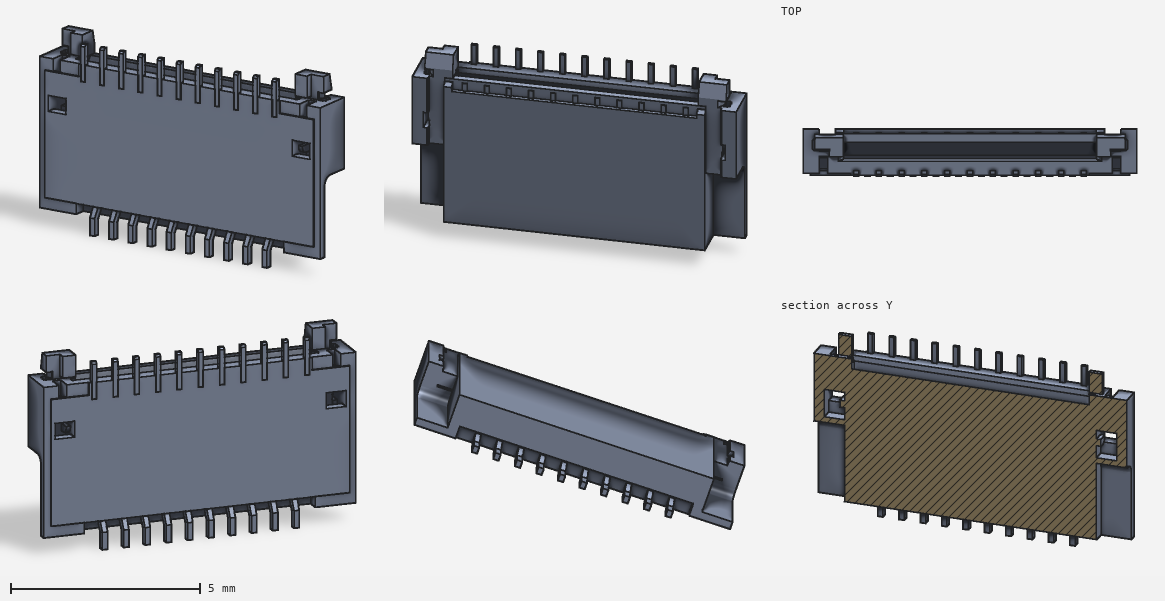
import cadquery as cq

WIDTH = 8.8
DEPTH = 1.17
HEIGHT = 4.16
HALF = WIDTH / 2

PLATE_THICKNESS = 0.05
PLATE_HALF = 4.21
PLATE_BOTTOM = 0.32
PLATE_SHOULDER = 3.82
PLATE_TOP_HALF = 3.14

UPPER_COUNT = 11
UPPER_SPAN = 6.0
PITCH = UPPER_SPAN / (UPPER_COUNT - 1)
PIN_FRONT = -0.08
UPPER_WIDTH = 0.13
UPPER_BOTTOM = 3.705
UPPER_TOP = 4.73
UPPER_BACK = 0.06
UPPER_CHAMFER = 0.05
LOWER_COUNT = 10
LOWER_WIDTH = 0.15
LOWER_TIP = -0.48
LOWER_BACK = 0.11
LOWER_SLOPE_TOP = 0.26
LOWER_ROOT_TOP = 0.4
LOWER_ROOT_FRONT = 0.08
LOWER_THICKNESS = LOWER_BACK - PIN_FRONT
LOWER_ELBOW = -0.04

RECESS_HALF = 3.26
RECESS_DEPTH = 0.35

POST_INNER = 3.97
POST_CHAMFER = 0.035
CORE_HALF = 3.55
SLOT_FRONT = 0.59
POST_BOTTOM = 2.2
WING_THICKNESS = 0.21
WING_FILLET = 0.26
POCKET_OUTER = 4.15
POCKET_BACK = 0.915
POCKET_DEPTH = 0.26
POCKET_CHAMFER = 0.05

NOTCH_OUTER = 3.98
NOTCH_INNER = 3.75
NOTCH_BACK = 0.45
NOTCH_WELL_FRONT = 0.11
NOTCH_WELL_BACK = 0.405
NOTCH_WELL_DEPTH = 0.18
NOTCH_SILL = 0.06
NOTCH_STEP_DEPTH = 0.09

WINDOW_OUTER = 4.1
WINDOW_INNER = CORE_HALF
WINDOW_BOTTOM = 2.71
WINDOW_TOP = 3.15
WELL_FRONT = 0.24
WELL_BOTTOM = 2.38
STUD_WIDTH = 0.12
STUD_HEIGHT = 0.21
STUD_FRONT = 0.26
STUD_FILLET = 0.19

LATCH_FRONT = 0.63
LATCH_BACK = 1.03
HEAD_OUTER = 4.09
HEAD_INNER = 3.335
HEAD_TOP = 4.81
HEAD_BOTTOM = 4.36
HEAD_TOP_BACK = 0.93
HEAD_HEEL_TOP = 4.4
NOSE_OUTER = 3.705
NOSE_FRONT = 0.43
NOSE_BOTTOM = 4.215
NECK_OUTER = 3.91
NECK_PEAK = 4.01
NECK_PEAK_Y = 0.82
NECK_FLARE_Y = 0.71
NECK_BACK = 3.86
ARM_OUTER = 3.995
ARM_STEP_Z = 2.86

MOUTH_HALF = 3.48
MOUTH_FRONT = 0.32
CABLE_HALF = 3.33
CABLE_FRONT = 0.38
CABLE_BACK = 0.475
CABLE_FLOOR = 1.5
LEAD_IN_DEPTH = 0.13
RAMP_TOP_Y = 0.82
RAMP_DEPTH = 0.36

LEDGE_FRONT = 1.04
LEDGE_DROP = 0.31
LEDGE_STEP = 0.03
LEDGE_STEP_DROP = 0.09
LEDGE_END_DROP = 0.19


def block(x0, x1, y0, y1, z0, z1):
    """Box between two opposite corners."""
    return cq.Workplane("XY").box(x1 - x0, y1 - y0, z1 - z0, centered=False).translate((x0, y0, z0))


def side_prism(points, x0, x1):
    """Outline of (y, z) points extruded from x0 to x1."""
    return cq.Workplane("YZ").polyline(points).close().extrude(x1 - x0).translate((x0, 0, 0))


def front_prism(points, y0, y1):
    """Outline of (x, z) points extruded from y0 to y1."""
    return cq.Workplane("XZ").polyline(points).close().extrude(y0 - y1).translate((0, y0, 0))


def plan_prism(points, z0, z1):
    """Outline of (x, y) points extruded from z0 to z1."""
    return cq.Workplane("XY").polyline(points).close().extrude(z1 - z0).translate((0, 0, z0))


def both_sides(shape):
    """A left-hand shape together with its mirror image."""
    return shape.union(shape.mirror("YZ"))


def row(count):
    """Centre positions of a row of pins."""
    return [(i - (count - 1) / 2) * PITCH for i in range(count)]


def post_cut():
    """Slot behind the latch and the space under the post, left side."""
    slot = plan_prism(
        [
            (-POST_INNER, SLOT_FRONT),
            (-CORE_HALF, SLOT_FRONT),
            (-CORE_HALF, DEPTH),
            (-POST_INNER - POST_CHAMFER, DEPTH),
            (-POST_INNER, DEPTH - POST_CHAMFER),
        ],
        0,
        HEIGHT,
    )
    below = block(-HALF, -CORE_HALF, WING_THICKNESS, DEPTH, 0, POST_BOTTOM)
    below = below.edges("|X").edges(">Z and <Y").fillet(WING_FILLET)
    pocket = block(
        -POCKET_OUTER, -POST_INNER, SLOT_FRONT, POCKET_BACK, HEIGHT - POCKET_DEPTH, HEIGHT
    )
    pocket = pocket.edges("|Z and <X").chamfer(POCKET_CHAMFER)
    return slot.union(below).union(pocket)


def notch_cut():
    """Corner notch behind a front sill, with a deeper well, left side."""
    notch = block(-NOTCH_OUTER, -NOTCH_INNER, 0, NOTCH_BACK, PLATE_SHOULDER, HEIGHT)
    step_floor = PLATE_SHOULDER - NOTCH_STEP_DEPTH
    step = block(-NOTCH_OUTER, -NOTCH_INNER, NOTCH_SILL, NOTCH_BACK, step_floor, PLATE_SHOULDER)
    well = block(
        -NOTCH_OUTER,
        -NOTCH_INNER,
        NOTCH_WELL_FRONT,
        NOTCH_WELL_BACK,
        PLATE_SHOULDER - NOTCH_WELL_DEPTH,
        PLATE_SHOULDER,
    )
    return notch.union(step).union(well)


def mouth_cut():
    """Cable mouth: front lead-in, rear ramp and the narrow cable slot."""
    lead_in = (
        cq.Workplane("XY", origin=(0, 0, HEIGHT))
        .moveTo(0, (MOUTH_FRONT + CABLE_BACK) / 2)
        .rect(2 * MOUTH_HALF, CABLE_BACK - MOUTH_FRONT)
        .workplane(offset=-LEAD_IN_DEPTH)
        .moveTo(0, (CABLE_FRONT + CABLE_BACK) / 2)
        .rect(2 * CABLE_HALF, CABLE_BACK - CABLE_FRONT)
        .loft(ruled=True)
    )
    ramp = side_prism(
        [(CABLE_BACK, HEIGHT), (RAMP_TOP_Y, HEIGHT), (CABLE_BACK, HEIGHT - RAMP_DEPTH)],
        -CABLE_HALF,
        CABLE_HALF,
    )
    slot = block(-CABLE_HALF, CABLE_HALF, CABLE_FRONT, CABLE_BACK, CABLE_FLOOR, HEIGHT)
    return lead_in.union(ramp).union(slot)


def ledge_cut():
    """Ledge along the back edge, with a short rib behind each upper pin."""
    floor = HEIGHT - LEDGE_DROP
    step_back = LEDGE_FRONT + LEDGE_STEP
    step_top = HEIGHT - LEDGE_STEP_DROP
    ledge = block(-CABLE_HALF, CABLE_HALF, LEDGE_FRONT, DEPTH, floor, HEIGHT)
    for x in row(UPPER_COUNT):
        half = UPPER_WIDTH / 2
        ledge = ledge.cut(block(x - half, x + half, LEDGE_FRONT, step_back, floor, step_top))
    end = side_prism(
        [
            (LEDGE_FRONT, HEIGHT),
            (LEDGE_FRONT, step_top),
            (step_back, step_top),
            (DEPTH, HEIGHT - LEDGE_END_DROP),
            (DEPTH, HEIGHT),
        ],
        -CORE_HALF,
        -CABLE_HALF,
    )
    return ledge.union(both_sides(end))


def cover_plate():
    """Front plate, its upper part narrowed by a shoulder on each side."""
    return front_prism(
        [
            (-PLATE_HALF, PLATE_BOTTOM),
            (PLATE_HALF, PLATE_BOTTOM),
            (PLATE_HALF, PLATE_SHOULDER),
            (PLATE_TOP_HALF, PLATE_SHOULDER),
            (PLATE_TOP_HALF, HEIGHT),
            (-PLATE_TOP_HALF, HEIGHT),
            (-PLATE_TOP_HALF, PLATE_SHOULDER),
            (-PLATE_HALF, PLATE_SHOULDER),
        ],
        -PLATE_THICKNESS,
        0,
    )


def latch():
    """Latch arm in its slot, its neck and its two-part head, left side."""
    arm = block(-POST_INNER, -CORE_HALF, LATCH_FRONT, LATCH_BACK, POST_BOTTOM, HEIGHT)
    arm_step = block(-ARM_OUTER, -POST_INNER, LATCH_FRONT, LATCH_BACK, ARM_STEP_Z, HEIGHT)
    neck = plan_prism(
        [
            (-NECK_OUTER, LATCH_FRONT),
            (-HEAD_INNER, LATCH_FRONT),
            (-HEAD_INNER, LATCH_BACK),
            (-NECK_BACK, LATCH_BACK),
            (-NECK_PEAK, NECK_PEAK_Y),
            (-NECK_OUTER, NECK_FLARE_Y),
        ],
        HEIGHT,
        HEAD_BOTTOM,
    )
    head = side_prism(
        [
            (LATCH_FRONT, HEAD_BOTTOM),
            (LATCH_BACK, HEAD_BOTTOM),
            (LATCH_BACK, HEAD_HEEL_TOP),
            (HEAD_TOP_BACK, HEAD_TOP),
            (LATCH_FRONT, HEAD_TOP),
        ],
        -HEAD_OUTER,
        -HEAD_INNER,
    )
    nose = block(-NOSE_OUTER, -HEAD_INNER, NOSE_FRONT, LATCH_FRONT, NOSE_BOTTOM, HEAD_TOP)
    return arm.union(arm_step).union(neck).union(head).union(nose)


def window_cut():
    """Window through the plate and post, with a well behind its sill, left side."""
    front = block(
        -WINDOW_OUTER, -WINDOW_INNER, -PLATE_THICKNESS, SLOT_FRONT, WINDOW_BOTTOM, WINDOW_TOP
    )
    post = block(-WINDOW_OUTER, -POST_INNER, SLOT_FRONT, DEPTH, WINDOW_BOTTOM, WINDOW_TOP)
    well = block(
        -WINDOW_OUTER, -WINDOW_INNER, WELL_FRONT, SLOT_FRONT, WELL_BOTTOM, WINDOW_BOTTOM
    )
    return front.union(post).union(well)


def window_stud():
    """Small stud in the lower inner corner of the window, rounded underneath, left side."""
    stud = block(
        -WINDOW_INNER - STUD_WIDTH,
        -WINDOW_INNER,
        STUD_FRONT,
        LATCH_FRONT,
        WINDOW_BOTTOM,
        WINDOW_BOTTOM + STUD_HEIGHT,
    )
    return stud.edges("|X").edges("<Y and <Z").fillet(STUD_FILLET)


def upper_pin(x):
    """Straight pin standing above the top edge, chamfered at the front of its tip."""
    return side_prism(
        [
            (PIN_FRONT, UPPER_BOTTOM),
            (UPPER_BACK, UPPER_BOTTOM),
            (UPPER_BACK, UPPER_TOP),
            (PIN_FRONT + UPPER_CHAMFER, UPPER_TOP),
            (PIN_FRONT, UPPER_TOP - UPPER_CHAMFER),
        ],
        x - UPPER_WIDTH / 2,
        x + UPPER_WIDTH / 2,
    )


def lower_pin(x):
    """Pin bent forward out of the recess and then straight down."""
    root_back = LOWER_ROOT_FRONT + LOWER_THICKNESS
    return side_prism(
        [
            (PIN_FRONT, LOWER_TIP),
            (LOWER_BACK, LOWER_TIP),
            (LOWER_BACK, LOWER_ELBOW),
            (root_back, LOWER_SLOPE_TOP + LOWER_ELBOW),
            (root_back, LOWER_ROOT_TOP),
            (LOWER_ROOT_FRONT, LOWER_ROOT_TOP),
            (LOWER_ROOT_FRONT, LOWER_SLOPE_TOP),
            (PIN_FRONT, 0),
        ],
        x - LOWER_WIDTH / 2,
        x + LOWER_WIDTH / 2,
    )


housing = block(-HALF, HALF, 0, DEPTH, 0, HEIGHT)
housing = housing.cut(both_sides(post_cut()))
housing = housing.cut(both_sides(notch_cut()))
housing = housing.cut(mouth_cut())
housing = housing.cut(ledge_cut())
housing = housing.cut(block(-RECESS_HALF, RECESS_HALF, 0, RECESS_DEPTH, 0, PLATE_BOTTOM))
housing = housing.union(cover_plate())
housing = housing.cut(both_sides(window_cut()))

result = housing.union(both_sides(latch())).union(both_sides(window_stud()))
for pin_x in row(UPPER_COUNT):
    result = result.union(upper_pin(pin_x))
for pin_x in row(LOWER_COUNT):
    result = result.union(lower_pin(pin_x))